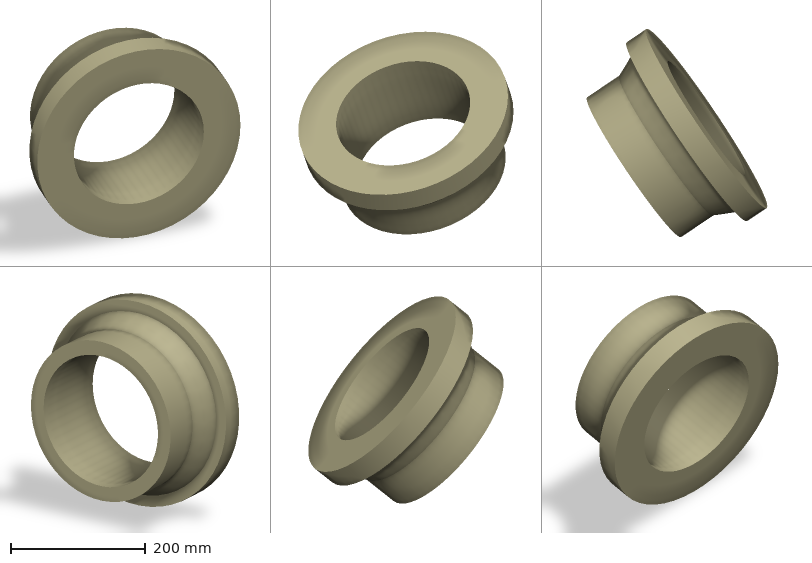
import cadquery as cq

total_length = 130.0
flange_thickness = 35.0
neck_length = 58.0
flange_diameter = 320.0
cone_base_diameter = 285.0
neck_diameter = 250.0
bore_diameter = 204.6

flange_start = total_length - flange_thickness

flange_radius = flange_diameter / 2
cone_base_radius = cone_base_diameter / 2
neck_radius = neck_diameter / 2
bore_radius = bore_diameter / 2


def stub_end():
    """Revolve the half section: neck, conical transition, flange and through bore."""
    half_section = (
        cq.Workplane("XY")
        .moveTo(0, bore_radius)
        .lineTo(0, neck_radius)
        .lineTo(neck_length, neck_radius)
        .lineTo(flange_start, cone_base_radius)
        .lineTo(flange_start, flange_radius)
        .lineTo(total_length, flange_radius)
        .lineTo(total_length, bore_radius)
        .close()
    )
    return half_section.revolve(360, (0, 0, 0), (1, 0, 0))


result = stub_end()